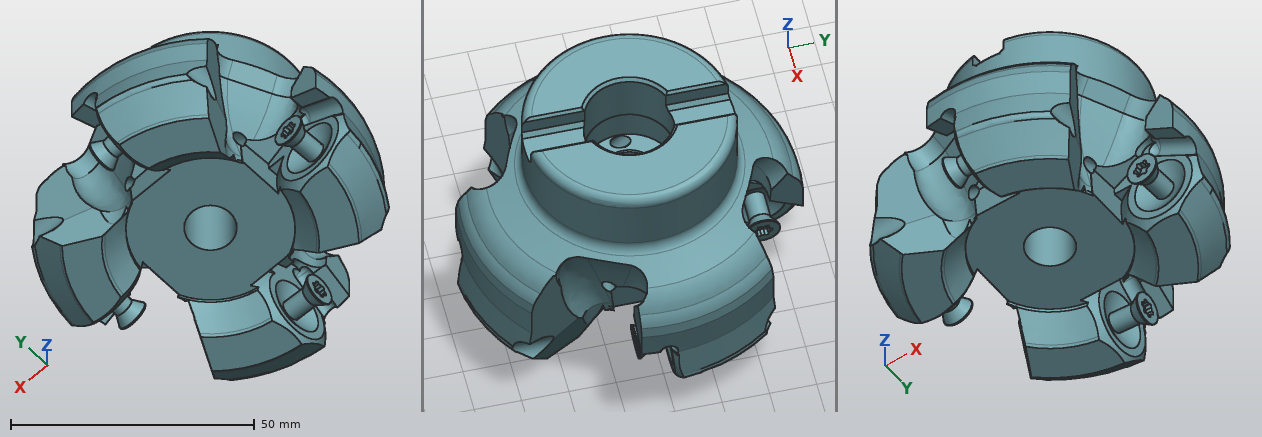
import cadquery as cq
import math


TOOTH_COUNT = 4

HEIGHT = 49.01
HUB_RADIUS = 22.15
HUB_EDGE_ROUND = 2.0
NECK_BOTTOM_RADIUS = 23.7
NECK_BOTTOM_Z = 32.8
NECK_MIDDLE = (22.6, 33.75)
NECK_TOP_Z = 35.2
SHOULDER_RADIUS = 29.7
SHOULDER_Z = 29.5
CROWN_CONE_END = (35.3, 23.2)
CROWN_LOWER_ARC = ((34.6, 24.5), (33.6, 25.7))
CROWN_UPPER_MIDDLE = (31.9, 27.85)
TOOTH_RADIUS = 35.8
TOOTH_TOP_Z = 20.9
TOOTH_LOW_Z = 14.3
RIM_RADIUS = 36.985
RIM_Z = 6.7
RIM_ROUND_HALF_HEIGHT = 0.85
RIM_ROUND_DEPTH = 0.15
RIM_LOWER_ROUND_DEPTH = 0.65
END_FACE_RADIUS = 30.5
END_CHAMFER = 0.55

BORE_RADIUS = 9.4
BORE_FLOOR_Z = 30.0
BORE_CHAMFER = 0.7
BORE_RELIEF_RADIUS = 9.8
BORE_RELIEF_TOP_Z = 37.2
BOLT_HOLE_RADIUS = 5.4
BOLT_HOLE_CHAMFER = 0.3
RECESS_MOUTH_RADIUS = 21.8
RECESS_TOP_RADIUS = 17.4
RECESS_CONE_HEIGHT = 5.7
RECESS_DEPTH = 6.6

KEY_WIDTH = 7.8
KEY_DEPTH = 4.85
KEY_FLOOR_CHAMFER = 0.95
KEY_EDGE_CHAMFER = 0.6

LEADING_FACE_X = -5.8
TRAILING_WALL_POINT = (-26.7, -24.3)
TRAILING_WALL_ANGLE = 25.0
GULLET_ANGLE = -115.0
GULLET_CORE_ROUND = 3.8
ROOF_SLOPE = 45.0
ROOF_HALF_WIDTH = 9.6
ROOF_CORNER_RADIUS = 4.7
ROOF_OFFSET = 0.25
ROOF_START = 36.0
THROAT_FOOT = (22.6, 8.0, 90.0, 5.2, 5.1)
THROAT_BEND = (23.4, 15.5, 69.0, 8.2, 5.3)
UNDERCUT_START = (-21.3, -21.8, 7.8)
UNDERCUT_RISE = 14.8
UNDERCUT_ANGLE = 10.5
UNDERCUT_HEIGHT = 15.0
UNDERCUT_INNER_LENGTH = 13.0
UNDERCUT_OUTER_LENGTH = 20.0

SEAT_CENTRE = (1.15, -27.0, 9.0)
SEAT_TILT = 5.0
SEAT_RADIUS = 8.15
SEAT_RELIEF_SLOPE = 0.67
SEAT_RELIEF_TOP = 4.2
DISH_RADIUS = 6.3
DISH_DEPTH = 2.0
POCKET_WALL_SLOPE = 29.0
POCKET_WALL_POINT = (8.4, 6.65)
POCKET_WALL_INNER = -0.3
POCKET_CORNER = (-1.4, 9.9)
POCKET_CORNER_RADIUS = 2.7
POCKET_CORE = -11.2
POCKET_HEIGHT = 8.5
GROOVE_RADIUS = 1.95
GROOVE_DEPTH = 0.8

SHANK_RADIUS = 2.25
HEAD_RADIUS = 3.6
HEAD_TOP = 6.45
HEAD_RIM = 0.3
HEAD_CONE_HEIGHT = 2.4
SCREW_DEPTH = 9.0
SOCKET_DEPTH = 1.5
SOCKET_CORE_RADIUS = 1.55
SOCKET_LOBE_RADIUS = 0.42
SOCKET_LOBES = 6
DRIVER_HOLE_RADIUS = 3.3
DRIVER_HOLE_START = (-12.0, -25.0, 7.65)

COOLANT_RADIUS = 1.5
COOLANT_START = 8.0
COOLANT_SLOPE = 45.0

CLEARANCE = 60.0
OVERCUT = 1.0

leading_normal = (-math.cos(math.radians(SEAT_TILT)), 0, -math.sin(math.radians(SEAT_TILT)))
seat_plane = cq.Plane(origin=SEAT_CENTRE, xDir=(0, -1, 0), normal=leading_normal)


def polar(radius, degrees):
    angle = math.radians(degrees)
    return (radius * math.cos(angle), radius * math.sin(angle))


def line_crossing(point_a, angle_a, point_b, angle_b):
    """Where two lines meet, each given by a point and a direction in degrees."""
    ax, ay = polar(1, angle_a)
    bx, by = polar(1, angle_b)
    dx = point_b[0] - point_a[0]
    dy = point_b[1] - point_a[1]
    step = (dx * by - dy * bx) / (ax * by - ay * bx)
    return (point_a[0] + step * ax, point_a[1] + step * ay)


def each_tooth(shape):
    return [shape.rotate((0, 0, 0), (0, 0, 1), i * 360 / TOOTH_COUNT) for i in range(TOOTH_COUNT)]


def turned_blank():
    rim_edge = RIM_RADIUS - RIM_ROUND_DEPTH
    profile = (
        cq.Workplane("XZ")
        .moveTo(0, 0)
        .lineTo(END_FACE_RADIUS, 0)
        .lineTo(END_FACE_RADIUS + END_CHAMFER, END_CHAMFER)
        .lineTo(RIM_RADIUS - RIM_LOWER_ROUND_DEPTH, RIM_Z - RIM_ROUND_HALF_HEIGHT)
        .threePointArc((RIM_RADIUS, RIM_Z), (rim_edge, RIM_Z + RIM_ROUND_HALF_HEIGHT))
        .lineTo(TOOTH_RADIUS, TOOTH_LOW_Z)
        .lineTo(TOOTH_RADIUS, TOOTH_TOP_Z)
        .lineTo(*CROWN_CONE_END)
        .threePointArc(*CROWN_LOWER_ARC)
        .threePointArc(CROWN_UPPER_MIDDLE, (SHOULDER_RADIUS, SHOULDER_Z))
        .lineTo(NECK_BOTTOM_RADIUS, NECK_BOTTOM_Z)
        .threePointArc(NECK_MIDDLE, (HUB_RADIUS, NECK_TOP_Z))
        .lineTo(HUB_RADIUS, HEIGHT - HUB_EDGE_ROUND)
        .radiusArc((HUB_RADIUS - HUB_EDGE_ROUND, HEIGHT), -HUB_EDGE_ROUND)
        .lineTo(0, HEIGHT)
        .close()
    )
    return profile.revolve(360, (0, 0, 0), (0, 1, 0))


def axial_bores():
    profile = (
        cq.Workplane("XZ")
        .moveTo(0, 0)
        .lineTo(RECESS_MOUTH_RADIUS + END_CHAMFER, 0)
        .lineTo(RECESS_MOUTH_RADIUS, END_CHAMFER)
        .lineTo(RECESS_TOP_RADIUS, RECESS_CONE_HEIGHT)
        .lineTo(RECESS_TOP_RADIUS, RECESS_DEPTH)
        .lineTo(BOLT_HOLE_RADIUS, RECESS_DEPTH)
        .lineTo(BOLT_HOLE_RADIUS, BORE_FLOOR_Z - BOLT_HOLE_CHAMFER)
        .lineTo(BOLT_HOLE_RADIUS + BOLT_HOLE_CHAMFER, BORE_FLOOR_Z)
        .lineTo(BORE_RELIEF_RADIUS, BORE_FLOOR_Z)
        .lineTo(BORE_RELIEF_RADIUS, BORE_RELIEF_TOP_Z)
        .lineTo(BORE_RADIUS, BORE_RELIEF_TOP_Z)
        .lineTo(BORE_RADIUS, HEIGHT - BORE_CHAMFER)
        .lineTo(BORE_RADIUS + BORE_CHAMFER, HEIGHT)
        .lineTo(0, HEIGHT)
        .close()
    )
    return profile.revolve(360, (0, 0, 0), (0, 1, 0))


def key_slot():
    half = KEY_WIDTH / 2
    floor = HEIGHT - KEY_DEPTH
    right_side = [
        (half - KEY_FLOOR_CHAMFER, floor),
        (half, floor + KEY_FLOOR_CHAMFER),
        (half, HEIGHT - KEY_EDGE_CHAMFER),
        (half + KEY_EDGE_CHAMFER, HEIGHT),
    ]
    left_side = [(-x, z) for x, z in reversed(right_side)]
    return cq.Workplane("XZ").polyline(right_side + left_side).close().extrude(CLEARANCE, both=True)


gullet_plane = cq.Plane(
    origin=(0, 0, 0),
    xDir=polar(1, GULLET_ANGLE) + (0,),
    normal=polar(1, GULLET_ANGLE - 90) + (0,),
)


def gullet_walls():
    """The open wedge between the leading face and the back of the next tooth."""
    apex = line_crossing((LEADING_FACE_X, 0), 90, TRAILING_WALL_POINT, TRAILING_WALL_ANGLE)
    back_x, back_y = polar(CLEARANCE, TRAILING_WALL_ANGLE + 180)
    wedge = (
        cq.Workplane("XY")
        .workplane(offset=-OVERCUT)
        .polyline([(LEADING_FACE_X, -CLEARANCE), apex, (apex[0] + back_x, apex[1] + back_y)])
        .close()
        .extrude(CLEARANCE)
    )
    apex_edge = cq.selectors.NearestToPointSelector((apex[0], apex[1], CLEARANCE / 2))
    wedge = wedge.edges(apex_edge).fillet(GULLET_CORE_ROUND)
    rise = math.tan(math.radians(ROOF_SLOPE))
    roof_at_axis = ROOF_OFFSET / math.cos(math.radians(ROOF_SLOPE))
    below_roof = (
        cq.Workplane(gullet_plane)
        .polyline([
            (0, -OVERCUT),
            (CLEARANCE, -OVERCUT),
            (CLEARANCE, roof_at_axis + CLEARANCE * rise),
            (0, roof_at_axis),
        ])
        .close()
        .extrude(CLEARANCE, both=True)
    )
    return wedge.intersect(below_roof)


def channel_section(radius, height, slope, half_width, corner_radius):
    """A round-ended slot across the gullet, square to a path of the given slope."""
    along_u, along_z = polar(1, slope)
    plane = cq.Plane(
        origin=gullet_plane.toWorldCoords((radius, height, 0)),
        xDir=gullet_plane.zDir,
        normal=gullet_plane.toWorldCoords((along_u, along_z, 0)),
    )
    return cq.Workplane(plane).slot2D(2 * half_width, 2 * corner_radius)


def roof_section():
    along_u, along_z = polar(1, ROOF_SLOPE)
    radius = ROOF_START * along_u - ROOF_OFFSET * along_z
    height = ROOF_START * along_z + ROOF_OFFSET * along_u
    return channel_section(radius, height, ROOF_SLOPE, ROOF_HALF_WIDTH, ROOF_CORNER_RADIUS)


def gullet_roof():
    """The sloping round-sided channel that closes the gullet at the top."""
    return roof_section().extrude(CLEARANCE)


def gullet_throat():
    """The smooth hollow that leads from the core into the roof channel."""
    sections = [channel_section(*THROAT_FOOT), channel_section(*THROAT_BEND), roof_section()]
    wires = [section.wires().val() for section in sections]
    return cq.Workplane(cq.Solid.makeLoft(wires))


def gullet_foot():
    """The straight hollow from the throat down to the cutting end."""
    return channel_section(*THROAT_FOOT).extrude(-THROAT_FOOT[1] - OVERCUT)


def trailing_undercut():
    """The lower part of the trailing wall leans back under the tooth."""
    wall = math.radians(TRAILING_WALL_ANGLE)
    rise = math.radians(UNDERCUT_RISE)
    edge = (math.cos(wall) * math.cos(rise), math.sin(wall) * math.cos(rise), math.sin(rise))
    plane = cq.Plane(origin=UNDERCUT_START, xDir=(-math.sin(wall), math.cos(wall), 0), normal=edge)
    lean = UNDERCUT_HEIGHT * math.tan(math.radians(UNDERCUT_ANGLE))
    return (
        cq.Workplane(plane)
        .workplane(offset=-UNDERCUT_OUTER_LENGTH)
        .polyline([(0, 0), (-OVERCUT, -UNDERCUT_HEIGHT), (lean, -UNDERCUT_HEIGHT)])
        .close()
        .extrude(UNDERCUT_OUTER_LENGTH + UNDERCUT_INNER_LENGTH)
    )


def pocket_wall_at(x):
    """Height of the pocket's upper wall above the seat centre."""
    wall_x, wall_y = POCKET_WALL_POINT
    return wall_y + (wall_x - x) * math.tan(math.radians(POCKET_WALL_SLOPE))


def insert_pocket():
    outer = 2 * SEAT_RADIUS
    inner_top = pocket_wall_at(POCKET_WALL_INNER)
    clearing = (
        cq.Workplane(seat_plane)
        .polyline([
            (POCKET_CORE, -outer),
            (outer, -outer),
            (outer, pocket_wall_at(outer)),
            (POCKET_WALL_INNER, inner_top),
            (POCKET_CORE, inner_top / 2),
        ])
        .close()
        .extrude(POCKET_HEIGHT)
    )
    corner = (
        cq.Workplane(seat_plane)
        .center(*POCKET_CORNER)
        .circle(POCKET_CORNER_RADIUS)
        .extrude(POCKET_HEIGHT)
    )
    return clearing.union(corner)


def pocket_groove():
    """Round relief in the corner between the seat and the pocket's upper wall."""
    slope = math.radians(POCKET_WALL_SLOPE)
    start_x = POCKET_WALL_INNER
    start_y = pocket_wall_at(start_x) - GROOVE_DEPTH / math.cos(slope)
    start = seat_plane.toWorldCoords((start_x, start_y, GROOVE_DEPTH))
    ahead = seat_plane.toWorldCoords((start_x + math.cos(slope), start_y - math.sin(slope), GROOVE_DEPTH))
    groove_plane = cq.Plane(origin=start, normal=(ahead - start))
    groove = cq.Workplane(groove_plane).circle(GROOVE_RADIUS).extrude(CLEARANCE)
    return groove.union(cq.Workplane("XY").sphere(GROOVE_RADIUS).translate(start))


def seat_relief():
    """Material outside the round insert falls away behind the seat."""
    width = SEAT_RADIUS
    ring = (
        cq.Workplane(seat_plane)
        .transformed(rotate=(90, 0, 0))
        .polyline([
            (SEAT_RADIUS, 0),
            (SEAT_RADIUS + width, 0),
            (SEAT_RADIUS + width, -width * SEAT_RELIEF_SLOPE),
        ])
        .close()
        .revolve(360, (0, 0, 0), (0, 1, 0))
    )
    height = 2 * SEAT_RADIUS + SEAT_RELIEF_TOP
    allowed = (
        cq.Workplane(seat_plane)
        .center(POCKET_CORE + CLEARANCE / 2, SEAT_RELIEF_TOP - height / 2)
        .rect(CLEARANCE, height)
        .extrude(CLEARANCE, both=True)
    )
    return ring.intersect(allowed)


def seat_dish():
    """Shallow bowl in the seat around the screw."""
    ball_radius = (DISH_RADIUS ** 2 + DISH_DEPTH ** 2) / (2 * DISH_DEPTH)
    return (
        cq.Workplane(seat_plane)
        .transformed(rotate=(90, 0, 0))
        .moveTo(0, 0)
        .lineTo(DISH_RADIUS, 0)
        .radiusArc((0, -DISH_DEPTH), ball_radius)
        .close()
        .revolve(360, (0, 0, 0), (0, 1, 0))
    )


def screw_hole():
    return cq.Workplane(seat_plane).circle(SHANK_RADIUS).extrude(-SCREW_DEPTH)


def driver_hole():
    """Access for the screwdriver through the back of the next tooth."""
    plane = cq.Plane(origin=DRIVER_HOLE_START, normal=(-1, 0, 0))
    return cq.Workplane(plane).circle(DRIVER_HOLE_RADIUS).extrude(CLEARANCE)


def coolant_hole():
    slope = math.radians(COOLANT_SLOPE)
    plane = cq.Plane(
        origin=(-COOLANT_START, 0, BORE_FLOOR_Z),
        normal=(0, -math.cos(slope), -math.sin(slope)),
    )
    hole = cq.Workplane(plane).workplane(offset=-2 * COOLANT_RADIUS)
    return hole.circle(COOLANT_RADIUS).extrude(CLEARANCE / 2)


def clamping_screw():
    cone_base = HEAD_TOP - HEAD_RIM - HEAD_CONE_HEIGHT
    screw = (
        cq.Workplane(seat_plane)
        .transformed(rotate=(90, 0, 0))
        .polyline([
            (0, -SCREW_DEPTH),
            (SHANK_RADIUS, -SCREW_DEPTH),
            (SHANK_RADIUS, cone_base),
            (HEAD_RADIUS, HEAD_TOP - HEAD_RIM),
            (HEAD_RADIUS, HEAD_TOP),
            (0, HEAD_TOP),
        ])
        .close()
        .revolve(360, (0, 0, 0), (0, 1, 0))
    )
    head_face = cq.Workplane(seat_plane).workplane(offset=HEAD_TOP)
    core = head_face.circle(SOCKET_CORE_RADIUS).extrude(-SOCKET_DEPTH)
    lobes = (
        head_face.polarArray(SOCKET_CORE_RADIUS, 0, 360, SOCKET_LOBES)
        .circle(SOCKET_LOBE_RADIUS)
        .extrude(-SOCKET_DEPTH)
    )
    return screw.cut(core).cut(lobes)


body = turned_blank().cut(axial_bores()).cut(key_slot())
tooth_cuts = [
    gullet_walls(),
    gullet_roof(),
    gullet_throat(),
    gullet_foot(),
    trailing_undercut(),
    insert_pocket(),
    pocket_groove(),
    seat_relief(),
    seat_dish(),
    screw_hole(),
    driver_hole(),
    coolant_hole(),
]
for tool in tooth_cuts:
    for copy in each_tooth(tool):
        body = body.cut(copy)

screws = each_tooth(clamping_screw())

result = cq.Compound.makeCompound([body.solids().val()] + [screw.solids().val() for screw in screws])